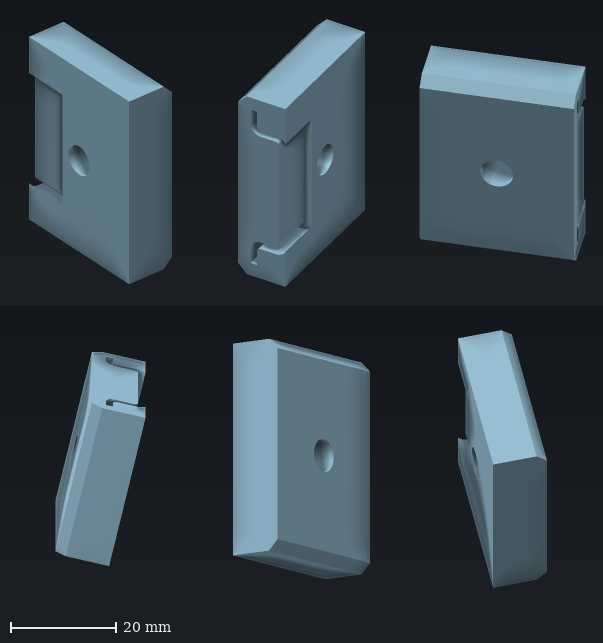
import cadquery as cq
import math

length = 30.0
depth = 10.5
height = 41.0
back_chamfer = 2.0
hole_diameter = 6.3

pocket_length = 10.0
web_depth = 1.48
lip_front = 6.27
lip_back = 7.7
lip_half_height = 17.67
wall_outer = 13.7
wall_inner = 12.2
inner_bend = 0.8
outer_bend = 2.25
mouth_bend_depth = 2.05


def make_block():
    block = cq.Workplane("XY").box(length, depth, height, centered=(False, False, True))
    return block.faces(">Y").edges("|X").chamfer(back_chamfer)


def bend(sketch, center, radius, middle_angle, end):
    """Add an arc about center, passing its middle_angle (degrees), to end."""
    angle = math.radians(middle_angle)
    middle = (center[0] + radius * math.cos(angle), center[1] + radius * math.sin(angle))
    return sketch.threePointArc(middle, end)


def make_half_pocket():
    """Upper half of the pocket, drawn in the YZ plane and extruded along X."""
    mouth_center = (mouth_bend_depth, wall_outer - outer_bend)
    mouth_rise = math.sqrt(outer_bend**2 - mouth_bend_depth**2)
    mouth_angle = math.degrees(math.atan2(mouth_rise, -mouth_bend_depth))
    lip_inner_center = (lip_front - inner_bend, wall_outer + inner_bend)
    lip_outer_center = (lip_back - outer_bend, wall_inner + outer_bend)
    web_center = (web_depth + inner_bend, wall_inner - inner_bend)

    sketch = cq.Workplane("YZ").moveTo(0, 0).lineTo(0, mouth_center[1] + mouth_rise)
    sketch = bend(sketch, mouth_center, outer_bend, (mouth_angle + 90) / 2,
                  (mouth_bend_depth, wall_outer))
    sketch = sketch.lineTo(lip_inner_center[0], wall_outer)
    sketch = bend(sketch, lip_inner_center, inner_bend, -45, (lip_front, lip_inner_center[1]))
    sketch = sketch.lineTo(lip_front, lip_half_height).lineTo(lip_back, lip_half_height)
    sketch = sketch.lineTo(lip_back, lip_outer_center[1])
    sketch = bend(sketch, lip_outer_center, outer_bend, -45, (lip_outer_center[0], wall_inner))
    sketch = sketch.lineTo(web_center[0], wall_inner)
    sketch = bend(sketch, web_center, inner_bend, 135, (web_depth, web_center[1]))
    return sketch.lineTo(web_depth, 0).close().extrude(pocket_length)


def make_hole():
    """Through hole along Y, in the middle of the front face."""
    hole = cq.Workplane("XZ").center(length / 2, 0).circle(hole_diameter / 2)
    return hole.extrude(-depth)


half_pocket = make_half_pocket()
pocket = half_pocket.union(half_pocket.mirror("XY"))
result = make_block().cut(pocket).cut(make_hole())